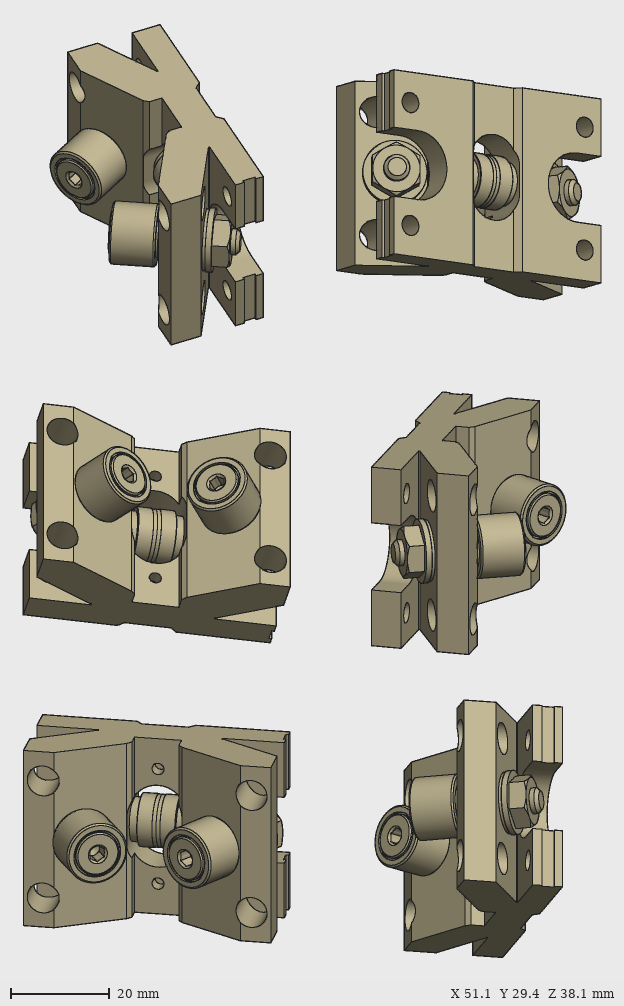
import cadquery as cq
import math

length = 51.05
height = 38.1
half_length = length / 2
wing_angle = math.radians(30)
plate_thickness = 6.25
wing_front_y = -20.55
wing_flat_x = 19.25
gap_root_x = 12.75
gap_root_y = -6.5
channel_half_width = 4.85
channel_floor_y = -8.9
channel_edge_y = -11.7
channel_bevel_x = 5.7
rear_recess_depth = 1.3
rear_recess_half_width = 6.1
side_groove_depth = 0.55
side_groove_rear_y = -1.65
side_groove_front_y = -4.25

mount_x = 21.5
mount_z = 12.7
mount_diameter = 4.15
mount_access_diameter = 6.5
pin_hole_diameter = 2.45
pin_hole_z = 12.45
pin_hole_depth = 3.05
window_width = 11.35
window_height = 17.75
notch_width = 14.3
notch_center_x = 19.65

axis_x = 18.65
eccentricity = 0.3
roller_radius = 6.45
roller_length = 9.35
roller_gap = 0.7
roller_chamfer = 0.35
roller_recess_radius = 5.0
roller_recess_depth = 0.5
head_radius = 4.6
head_overhang = 0.3
head_chamfer = 0.3
shank_radius = 2.65
shank_end = 7.2
shank_chamfer = 0.75
socket_flats = 3.0
socket_depth = 3.4
socket_drill_diameter = 3.1
drill_tip_angle = math.radians(30)
socket_mouth_radius = 2.05
seat_radius = 6.35
seat_height = 0.6
flange_radius = 6.55
flange_top = 1.85
nut_flats = 9.65
nut_top = 5.4
nut_chamfer_angle = math.radians(30)

center_y = -5.7
axle_radius = 4.6
ring_radius = 5.5
ring_width = 4.0
ring_chamfer = 0.1
ring_step_radius = 5.4
ring_step_width = 0.8

slope = math.tan(wing_angle)
wing_outer_y = gap_root_y - (half_length - gap_root_x) * slope
wing_inner_y = wing_front_y + (wing_flat_x - channel_bevel_x) * slope
axis_y = gap_root_y - (axis_x - gap_root_x) * slope
wing_depth_y = gap_root_y - (wing_front_y + (wing_flat_x - gap_root_x) * slope)
wing_thickness = wing_depth_y * math.cos(wing_angle)
roller_back = -wing_thickness - roller_gap
roller_front = roller_back - roller_length
head_front = roller_front - head_overhang


def hole_along_y(diameter, x, z, rear_y, front_y):
    """Cylinder along Y between two depths."""
    return (
        cq.Workplane("XZ", origin=(x, rear_y, z))
        .circle(diameter / 2)
        .extrude(rear_y - front_y)
    )


def revolved(profile):
    """Turn a closed (radius, axial position) outline about the local Z axis."""
    return cq.Workplane("XZ").polyline(profile).close().revolve(360, (0, 0, 0), (0, 1, 0))


def hexagon(flats, start, end):
    """Hexagonal prism along local Z with its corners pointing along local X."""
    return (
        cq.Workplane("XY", origin=(0, 0, start))
        .polygon(6, flats / math.cos(math.pi / 6))
        .extrude(end - start)
    )


def on_wing(body, side, z_offset=0.0):
    """Place a local body on a wing: local X becomes global Z, local Z points to the nut."""
    plane = cq.Plane(
        origin=(side * axis_x, axis_y, z_offset),
        xDir=(0, 0, 1),
        normal=(side * math.sin(wing_angle), math.cos(wing_angle), 0),
    )
    return body.solids().val().moved(cq.Location(plane))


def housing_blank():
    right_half = [
        (rear_recess_half_width, 0),
        (half_length, 0),
        (half_length, -plate_thickness),
        (gap_root_x, -plate_thickness),
        (gap_root_x, gap_root_y),
        (half_length, wing_outer_y),
        (half_length, wing_front_y),
        (wing_flat_x, wing_front_y),
        (channel_bevel_x, wing_inner_y),
        (channel_half_width, channel_edge_y),
        (channel_half_width, channel_floor_y),
    ]
    recess_corner = (channel_half_width, -rear_recess_depth)
    right_side = [recess_corner] + right_half
    left_side = [(-x, y) for x, y in reversed(right_side)]
    return (
        cq.Workplane("XY", origin=(0, 0, -height / 2))
        .polyline(right_side + left_side)
        .close()
        .extrude(height)
    )


def side_groove():
    return cq.Workplane("XY").box(
        side_groove_depth, side_groove_rear_y - side_groove_front_y, height
    ).translate((
        half_length - side_groove_depth / 2,
        (side_groove_rear_y + side_groove_front_y) / 2,
        0,
    ))


def center_window():
    return (
        cq.Workplane("XZ")
        .slot2D(window_height, window_width, 90)
        .extrude(-wing_front_y)
    )


def nut_notch(side):
    straight = half_length - notch_center_x
    block = cq.Workplane("XY").box(straight, plate_thickness, notch_width).translate(
        (side * (notch_center_x + straight / 2), -plate_thickness / 2, 0)
    )
    return block.union(hole_along_y(notch_width, side * notch_center_x, 0, 0, -plate_thickness))


def make_housing():
    body = housing_blank().cut(side_groove()).cut(center_window())
    for z_side in (-1, 1):
        z = z_side * pin_hole_z
        body = body.cut(
            hole_along_y(pin_hole_diameter, 0, z, channel_floor_y + pin_hole_depth, channel_floor_y)
        )
    for side in (-1, 1):
        body = body.cut(nut_notch(side))
        shank_bore = cq.Workplane("XY").circle(shank_radius).extrude(-wing_thickness)
        body = body.cut(cq.Workplane(on_wing(shank_bore, side)))
        for z_side in (-1, 1):
            x = side * mount_x
            z = z_side * mount_z
            body = body.cut(hole_along_y(mount_diameter, x, z, 0, -plate_thickness))
            body = body.cut(
                hole_along_y(mount_access_diameter, x, z, -plate_thickness, wing_front_y)
            )
    return body.solids().val()


def make_roller(side, z_offset):
    """Chamfered ring with a shallow recess around the stud head."""
    ring = revolved([
        (head_radius, roller_back),
        (roller_radius - roller_chamfer, roller_back),
        (roller_radius, roller_back - roller_chamfer),
        (roller_radius, roller_front + roller_chamfer),
        (roller_radius - roller_chamfer, roller_front),
        (roller_recess_radius, roller_front),
        (roller_recess_radius, roller_front + roller_recess_depth),
        (head_radius, roller_front + roller_recess_depth),
    ])
    return on_wing(ring, side, z_offset)


def make_stud(side, z_offset):
    """Socket head carrying the roller, with a plain shank through wing and nut."""
    head = revolved([
        (0, -wing_thickness),
        (head_radius - head_chamfer, -wing_thickness),
        (head_radius, -wing_thickness - head_chamfer),
        (head_radius, head_front + head_chamfer),
        (head_radius - head_chamfer, head_front),
        (0, head_front),
    ])
    mouth = revolved([
        (0, head_front),
        (socket_mouth_radius, head_front),
        (0, head_front + socket_mouth_radius),
    ])
    socket_floor = head_front + socket_depth
    socket = hexagon(socket_flats, head_front, socket_floor)
    pilot = revolved([
        (0, head_front),
        (socket_drill_diameter / 2, head_front),
        (socket_drill_diameter / 2, socket_floor),
        (0, socket_floor + socket_drill_diameter / 2 * math.tan(drill_tip_angle)),
    ])
    head = head.cut(mouth).cut(socket).cut(pilot).translate((z_offset, 0, 0))
    shank = revolved([
        (0, -wing_thickness),
        (shank_radius, -wing_thickness),
        (shank_radius, shank_end - shank_chamfer),
        (shank_radius - shank_chamfer, shank_end),
        (0, shank_end),
    ])
    return on_wing(head.union(shank), side)


def make_nut(side):
    """Hexagon nut with a round flange on a slightly smaller seat."""
    flange = revolved([
        (0, 0),
        (seat_radius, 0),
        (seat_radius, seat_height),
        (flange_radius, seat_height),
        (flange_radius, flange_top),
        (0, flange_top),
    ])
    corner_radius = nut_flats / 2 / math.cos(math.pi / 6)
    chamfer_drop = (corner_radius - nut_flats / 2) * math.tan(nut_chamfer_angle)
    chamfered_envelope = revolved([
        (0, flange_top),
        (corner_radius, flange_top),
        (corner_radius, nut_top - chamfer_drop),
        (nut_flats / 2, nut_top),
        (0, nut_top),
    ])
    hex_body = hexagon(nut_flats, flange_top, nut_top).intersect(chamfered_envelope)
    bore = cq.Workplane("XY").circle(shank_radius).extrude(nut_top)
    return on_wing(flange.union(hex_body).cut(bore), side)


def make_axle():
    """Plain axle across the central window, its ends following the window wall."""
    return (
        cq.Workplane("YZ", origin=(-window_width / 2, center_y, 0))
        .circle(axle_radius)
        .extrude(window_width)
        .intersect(center_window())
        .solids()
        .val()
    )


def make_center_ring(side):
    """Ring on the axle, stepped down where it meets its twin at X = 0."""
    ring = revolved([
        (axle_radius, 0),
        (ring_step_radius, 0),
        (ring_step_radius, ring_step_width),
        (ring_radius, ring_step_width),
        (ring_radius, ring_width - ring_chamfer),
        (ring_radius - ring_chamfer, ring_width),
        (axle_radius, ring_width),
    ])
    plane = cq.Plane(origin=(0, center_y, 0), xDir=(0, 0, 1), normal=(side, 0, 0))
    return ring.val().moved(cq.Location(plane))


housing = make_housing()
axle = make_axle()
center_rings = [make_center_ring(side) for side in (-1, 1)]

rollers = []
studs = []
nuts = []
for side, z_offset in ((-1, 0.0), (1, eccentricity)):
    rollers.append(make_roller(side, z_offset))
    studs.append(make_stud(side, z_offset))
    nuts.append(make_nut(side))

result = cq.Compound.makeCompound([housing, axle, *center_rings, *rollers, *studs, *nuts])